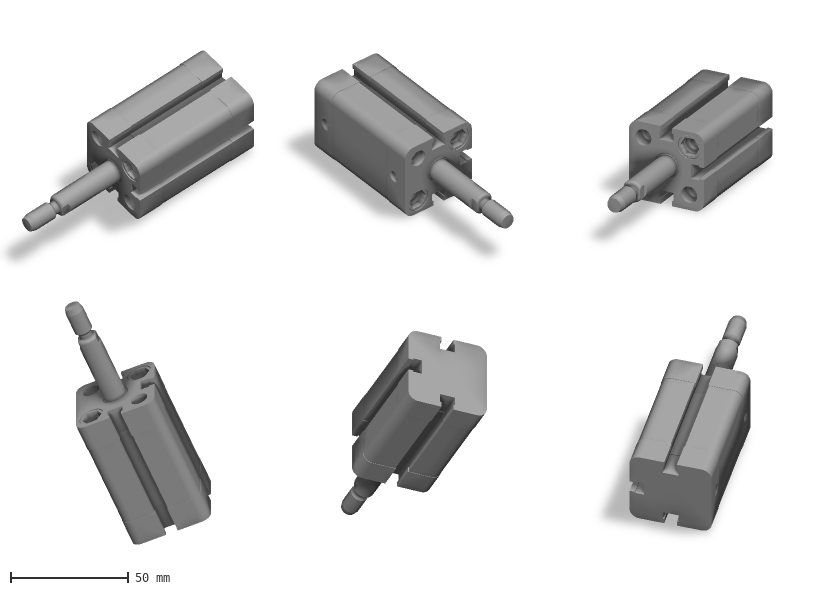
import cadquery as cq
import math

total_length = 109.6

side = 36.3
barrel_side = 36.0
front_cap_length = 12.0
barrel_length = 38.7
rear_cap_length = 11.6
cap_corner_radius = 4.5
barrel_corner_radius = 4.5

slot_channel_width = 6.9
slot_lip = 2.4
cap_slot_mouth = 5.6
cap_slot_depth = 6.4
barrel_slot_mouth = 6.2
barrel_slot_depth = 6.0
slot_angles = (0, 90, 270)

corner_spacing = 22.1
corner_bore_diameter = 7.6
corner_bore_depth = 4.6
collar_diameter = 11.1
collar_face_diameter = 10.5
collar_depth = 0.3
hex_across_flats = 8.0
socket_relief_diameter = 8.2
hex_depth = 2.7

thread_core_diameter = 4.2
thread_mouth_diameter = 5.3
port_depth = 8.8
port_from_front = 7.9
port_from_rear = 7.6

rod_diameter = 10.0
rod_extension = total_length - front_cap_length - barrel_length - rear_cap_length
rod_end_radius = 1.3
neck_diameter = 5.8
neck_start = 31.5
neck_end = 33.6
neck_fillet = 0.3
tip_thread_diameter = 8.0
tip_thread_start = 34.7
tip_chamfer_start = 44.7
tip_diameter = 6.6
flat_width = 8.0
flat_start = 28.0

groove_outer_diameter = 12.0
groove_floor_diameter = 11.4
groove_inner_diameter = 10.9
groove_depth = 0.3

barrel_start = front_cap_length
barrel_end = barrel_start + barrel_length
rear_end = barrel_end + rear_cap_length
half_corner = corner_spacing / 2
all_corners = [(x, z) for x in (-half_corner, half_corner) for z in (-half_corner, half_corner)]
collar_corners = [(x, z) for x, z in all_corners if x * z > 0]


def disc(diameter, y, length, x=0, z=0):
    """Cylinder along Y."""
    return cq.Workplane(cq.Solid.makeCylinder(diameter / 2, length, cq.Vector(x, y, z), cq.Vector(0, 1, 0)))


def threaded_hole(point, direction, depth):
    """Core hole with a 45-degree countersunk mouth."""
    start = cq.Vector(*point)
    axis = cq.Vector(*direction)
    core_radius = thread_core_diameter / 2
    mouth_radius = thread_mouth_diameter / 2
    core = cq.Solid.makeCylinder(core_radius, depth, start, axis)
    mouth = cq.Solid.makeCone(mouth_radius, core_radius, mouth_radius - core_radius, start, axis)
    return cq.Workplane(core).union(cq.Workplane(mouth))


def ring_groove(profile, x=0, z=0):
    """Groove around an axis along Y, from a (radius, depth) profile."""
    return cq.Workplane("XY").polyline(profile).close().revolve(360, (0, 0), (0, 1)).translate((x, 0, z))


def slotted_block(y_start, length, width, corner_radius, mouth, depth):
    """Square block with rounded edges and a T-shaped slot in three of its sides."""
    block = cq.Workplane("XY").box(width, length, width).edges("|Y").fillet(corner_radius)
    mouth_cut = cq.Workplane("XY").box(depth, length, mouth).translate((side / 2 - depth / 2, 0, 0))
    channel_depth = depth - slot_lip
    channel_cut = (
        cq.Workplane("XY")
        .box(channel_depth, length, slot_channel_width)
        .translate((side / 2 - slot_lip - channel_depth / 2, 0, 0))
    )
    slot = mouth_cut.union(channel_cut)
    for angle in slot_angles:
        block = block.cut(slot.rotate((0, 0, 0), (0, 1, 0), angle))
    return block.translate((0, y_start + length / 2, 0))


def collar_hole(x, z):
    """Seat above a chamfered collar, its hex socket and a round relief just wider than the hex flats."""
    hex_end = collar_depth + hex_depth
    chamfer = (collar_diameter - collar_face_diameter) / 2
    seat = ring_groove(
        [
            (0, 0),
            (collar_diameter / 2, 0),
            (collar_diameter / 2, collar_depth + chamfer),
            (collar_face_diameter / 2, collar_depth),
            (0, collar_depth),
        ],
        x,
        z,
    )
    hexagon = (
        cq.Workplane("XZ")
        .polygon(6, hex_across_flats / math.cos(math.pi / 6))
        .extrude(-hex_end)
        .translate((x, 0, z))
    )
    relief = disc(socket_relief_diameter, 0, hex_end, x, z)
    return seat.union(hexagon).union(relief)


def make_front_cap():
    cap = slotted_block(0, front_cap_length, side, cap_corner_radius, cap_slot_mouth, cap_slot_depth)
    thread_depth = front_cap_length - corner_bore_depth
    for x, z in all_corners:
        cap = cap.cut(disc(corner_bore_diameter, 0, corner_bore_depth, x, z))
        cap = cap.cut(threaded_hole((x, corner_bore_depth, z), (0, 1, 0), thread_depth))
    for x, z in collar_corners:
        cap = cap.cut(collar_hole(x, z))
    wiper_groove = ring_groove([
        (groove_outer_diameter / 2, 0),
        (groove_floor_diameter / 2, groove_depth),
        (groove_inner_diameter / 2, 0),
    ])
    cap = cap.cut(wiper_groove)
    cap = cap.cut(disc(rod_diameter, 0, front_cap_length))
    return cap.cut(threaded_hole((-side / 2, port_from_front, 0), (1, 0, 0), port_depth))


def make_barrel():
    return slotted_block(
        barrel_start, barrel_length, barrel_side, barrel_corner_radius, barrel_slot_mouth, barrel_slot_depth
    )


def make_rear_cap():
    cap = slotted_block(
        barrel_end, rear_cap_length, side, cap_corner_radius, cap_slot_mouth, cap_slot_depth
    )
    return cap.cut(threaded_hole((-side / 2, rear_end - port_from_rear, 0), (1, 0, 0), port_depth))


def make_rod():
    """Turned rod resting on the barrel, with a neck, a threaded tip and two wrench flats."""
    rod_radius = rod_diameter / 2
    round_inset = rod_end_radius * (1 - math.sqrt(0.5))
    rod = (
        cq.Workplane("XY")
        .moveTo(0, barrel_start)
        .lineTo(rod_radius, barrel_start)
        .lineTo(rod_radius, -neck_start + rod_end_radius)
        .threePointArc(
            (rod_radius - round_inset, -neck_start + round_inset),
            (rod_radius - rod_end_radius, -neck_start),
        )
        .lineTo(neck_diameter / 2, -neck_start)
        .lineTo(neck_diameter / 2, -neck_end)
        .lineTo(tip_thread_diameter / 2, -tip_thread_start)
        .lineTo(tip_thread_diameter / 2, -tip_chamfer_start)
        .lineTo(tip_diameter / 2, -rod_extension)
        .lineTo(0, -rod_extension)
        .close()
        .revolve(360, (0, 0), (0, 1))
    )
    neck_middle = (0, -(neck_start + neck_end) / 2, 0)
    neck_face = rod.faces(cq.NearestToPointSelector(neck_middle))
    rod = neck_face.edges("%CIRCLE").fillet(neck_fillet)
    flat_depth = (rod_diameter - flat_width) / 2
    for x_sign in (-1, 1):
        flat_cut = (
            cq.Workplane("XY")
            .polyline([
                (x_sign * flat_width / 2, -neck_start),
                (x_sign * flat_width / 2, -flat_start),
                (x_sign * (flat_width / 2 + flat_depth), -flat_start + flat_depth),
                (x_sign * (flat_width / 2 + flat_depth), -neck_start),
            ])
            .close()
            .extrude(rod_diameter / 2, both=True)
        )
        rod = rod.cut(flat_cut)
    return rod


front_cap = make_front_cap()
barrel = make_barrel()
rear_cap = make_rear_cap()
piston_rod = make_rod()

result = cq.Compound.makeCompound([front_cap.val(), barrel.val(), rear_cap.val(), piston_rod.val()])